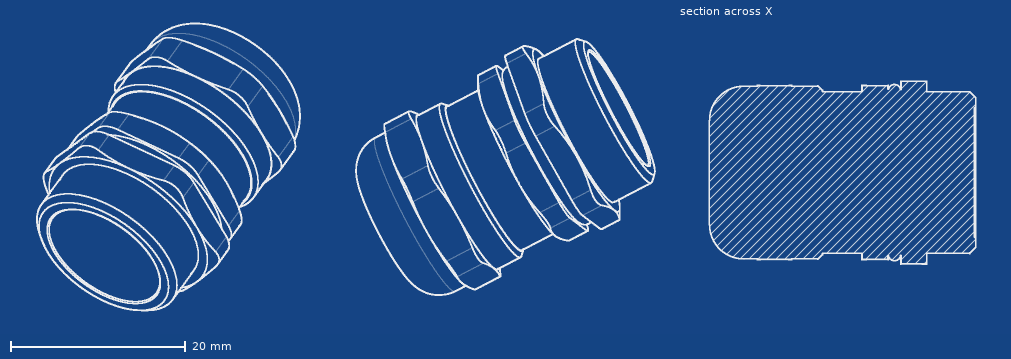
import cadquery as cq
import math

LENGTH = 30.55

THREAD_DIAMETER = 18.6
THREAD_CHAMFER = 0.7
BODY_TOP = 17.57

RECESS_RIM_DIAMETER = 15.05
RECESS_FLOOR_DIAMETER = 14.7
RECESS_DEPTH = 0.15

CAP_DIAMETER = 19.9
CAP_CHAMFER = 0.52
DOME_RADIUS = 3.97

HEX_CORNER_RADIUS = 3.0
LOCKNUT_FLATS = 21.0
LOCKNUT_BOTTOM = 5.6
LOCKNUT_HEIGHT = 3.0
BODY_HEX_FLATS = 20.0
BODY_HEX_HEIGHT = 3.0
CAP_HEX_FLATS = BODY_HEX_FLATS
CAP_HEX_BOTTOM = 21.1
CAP_HEX_HEIGHT = 3.97
NUT_CHAMFER_ANGLE = 30.0
CAP_CHAMFER_ANGLE = 20.0

RING_THICKNESS = 1.47
RING_DIAMETER = 20.3

RING_BOTTOM = LOCKNUT_BOTTOM + LOCKNUT_HEIGHT
BODY_HEX_BOTTOM = RING_BOTTOM + RING_THICKNESS


def revolve_about_y(profile):
    return profile.close().revolve(360, (0, 0, 0), (0, 1, 0))


def hexagon(flats, bottom, height, bottom_angle=0.0, top_angle=0.0):
    """Hexagonal prism along Y with rounded corners and conically turned end faces."""
    sharp_diameter = flats / math.cos(math.radians(30))
    prism = (
        cq.Workplane("XZ", origin=(0, bottom, 0))
        .polygon(6, sharp_diameter)
        .extrude(-height)
        .edges("|Y")
        .fillet(HEX_CORNER_RADIUS)
    )
    face_radius = flats / 2
    outer_radius = sharp_diameter / 2
    overhang = outer_radius - face_radius
    top = bottom + height
    bottom_rise = overhang * math.tan(math.radians(bottom_angle))
    top_drop = overhang * math.tan(math.radians(top_angle))
    points = [(0, bottom)]
    if bottom_angle:
        points.append((face_radius, bottom))
    points.append((outer_radius, bottom + bottom_rise))
    points.append((outer_radius, top - top_drop))
    if top_angle:
        points.append((face_radius, top))
    points.append((0, top))
    envelope = revolve_about_y(cq.Workplane("XY").polyline(points))
    return prism.intersect(envelope)


def threaded_body():
    radius = THREAD_DIAMETER / 2
    return revolve_about_y(
        cq.Workplane("XY")
        .moveTo(0, RECESS_DEPTH)
        .lineTo(RECESS_FLOOR_DIAMETER / 2, RECESS_DEPTH)
        .lineTo(RECESS_RIM_DIAMETER / 2, 0)
        .lineTo(radius - THREAD_CHAMFER, 0)
        .lineTo(radius, THREAD_CHAMFER)
        .lineTo(radius, BODY_TOP)
        .lineTo(0, BODY_TOP)
    )


def domed_cap():
    radius = CAP_DIAMETER / 2
    dome_start = LENGTH - DOME_RADIUS
    return revolve_about_y(
        cq.Workplane("XY")
        .moveTo(0, BODY_TOP)
        .lineTo(radius - CAP_CHAMFER, BODY_TOP)
        .lineTo(radius, BODY_TOP + CAP_CHAMFER)
        .lineTo(radius, dome_start)
        .radiusArc((radius - DOME_RADIUS, LENGTH), -DOME_RADIUS)
        .lineTo(0, LENGTH)
    )


def sealing_ring():
    """Ring with a half-round rim, solid to the axis so that it joins the body."""
    rim_radius = RING_THICKNESS / 2
    shoulder = RING_DIAMETER / 2 - rim_radius
    ring_top = RING_BOTTOM + RING_THICKNESS
    return revolve_about_y(
        cq.Workplane("XY")
        .moveTo(0, RING_BOTTOM)
        .lineTo(shoulder, RING_BOTTOM)
        .threePointArc((RING_DIAMETER / 2, RING_BOTTOM + rim_radius), (shoulder, ring_top))
        .lineTo(0, ring_top)
    )


locknut = hexagon(LOCKNUT_FLATS, LOCKNUT_BOTTOM, LOCKNUT_HEIGHT, bottom_angle=NUT_CHAMFER_ANGLE)
body_hex = hexagon(BODY_HEX_FLATS, BODY_HEX_BOTTOM, BODY_HEX_HEIGHT, top_angle=NUT_CHAMFER_ANGLE)
cap_hex = hexagon(
    CAP_HEX_FLATS, CAP_HEX_BOTTOM, CAP_HEX_HEIGHT, CAP_CHAMFER_ANGLE, CAP_CHAMFER_ANGLE
)

result = (
    threaded_body()
    .union(domed_cap())
    .union(sealing_ring())
    .union(locknut)
    .union(body_hex)
    .union(cap_hex)
)